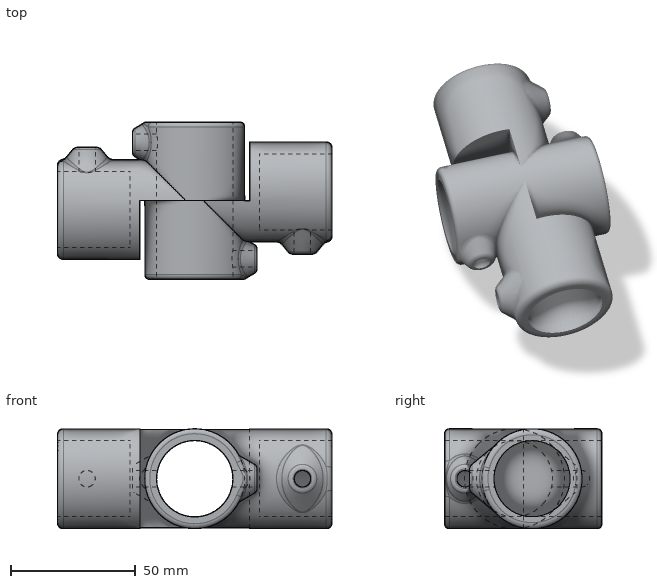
import cadquery as cq
import math

total_length = 110.0
total_width = 63.0
tube_diameter = 40.0
tube_radius = tube_diameter / 2
bore_diameter = 30.5
half_length = total_length / 2
half_width = total_width / 2
blind_end_rounding = 2.4
open_end_rounding = 2.0
trim_allowance = 5.5

blind_axis_y = -3.5
shoulder_x = -22.0
bore_floor_wall = 4.0

boss_height = 25.0
screw_hole_diameter = 6.6
blind_boss_x = -43.1
blind_boss_face_radius = 5.0
blind_boss_half_angle = 40.0
blind_boss_depth = 10.8
blind_boss_rim_rounding = 2.6
open_boss_y = 23.3
open_boss_face_radius = 5.2
open_boss_half_angle = 30.0
open_boss_depth = 8.8
open_boss_rim_rounding = 2.2
blind_boss_root_rounding = 2.8
open_boss_root_rounding = 2.2


def cylinder(radius, length, start, direction):
    return cq.Workplane(obj=cq.Solid.makeCylinder(radius, length, cq.Vector(*start), cq.Vector(*direction)))


def tapered_boss(face_centre, inward, face_radius, half_angle, depth, rim_rounding):
    """Truncated cone that widens from its rounded outer face towards the tube axis."""
    root_radius = face_radius + depth * math.tan(math.radians(half_angle))
    cone = cq.Workplane(
        obj=cq.Solid.makeCone(face_radius, root_radius, depth, cq.Vector(*face_centre), cq.Vector(*inward))
    )
    outward = cq.Vector(*inward) * -1
    rim = cone.faces(cq.selectors.DirectionMinMaxSelector(outward, True)).edges()
    return rim.fillet(rim_rounding)


def round_boss_root(tube, boss, rounding):
    """Blend the curve where the boss leaves the tube, found as the edges on both surfaces."""
    joined = tube.union(boss)
    solid = joined.val()
    cones = [f for f in solid.Faces() if f.geomType() == "CONE"]
    walls = [f for f in solid.Faces() if f.geomType() == "CYLINDER"]
    wall_edges = [e for f in walls for e in f.Edges()]
    root = [e for f in cones for e in f.Edges() if any(e.isSame(w) for w in wall_edges)]
    return cq.Workplane(obj=solid.fillet(rounding, root))


def blind_tube():
    tube = cylinder(tube_radius, half_length + trim_allowance, (0, blind_axis_y, 0), (-1, 0, 0))
    boss = tapered_boss(
        (blind_boss_x, blind_axis_y + boss_height, 0), (0, -1, 0),
        blind_boss_face_radius, blind_boss_half_angle, blind_boss_depth, blind_boss_rim_rounding,
    )
    length_limit = cq.Workplane().box(half_length, total_length, total_length).translate((-half_length / 2, 0, 0))
    tube = round_boss_root(tube, boss, blind_boss_root_rounding).intersect(length_limit)
    tube = tube.faces("<X").edges().fillet(blind_end_rounding)
    relief = cq.Workplane().box(-shoulder_x, total_width, total_width, centered=(False, False, True))
    return tube.cut(relief.translate((shoulder_x, -total_width, 0)))


def open_tube():
    tube = cylinder(tube_radius, half_width + trim_allowance, (0, 0, 0), (0, 1, 0))
    boss = tapered_boss(
        (-boss_height, open_boss_y, 0), (1, 0, 0),
        open_boss_face_radius, open_boss_half_angle, open_boss_depth, open_boss_rim_rounding,
    )
    length_limit = cq.Workplane().box(total_length, half_width, total_length, centered=(True, False, True))
    tube = round_boss_root(tube, boss, open_boss_root_rounding).intersect(length_limit)
    return tube.faces(">Y").edges().fillet(open_end_rounding)


def half_connector():
    """One blind tube and one open tube, joined at right angles."""
    bore_radius = bore_diameter / 2
    screw_hole_radius = screw_hole_diameter / 2
    bore_depth = half_length + shoulder_x - bore_floor_wall
    body = blind_tube().union(open_tube())
    body = body.cut(cylinder(bore_radius, bore_depth, (-half_length, blind_axis_y, 0), (1, 0, 0)))
    body = body.cut(cylinder(bore_radius, half_width, (0, 0, 0), (0, 1, 0)))
    blind_screw_start = (blind_boss_x, blind_axis_y + boss_height, 0)
    body = body.cut(cylinder(screw_hole_radius, boss_height, blind_screw_start, (0, -1, 0)))
    open_screw_start = (-boss_height, open_boss_y, 0)
    return body.cut(cylinder(screw_hole_radius, boss_height, open_screw_start, (1, 0, 0)))


halves = []
for turn in (0, 180):
    halves.append(half_connector().rotate((0, 0, 0), (0, 0, 1), turn).val())

result = cq.Compound.makeCompound(halves)